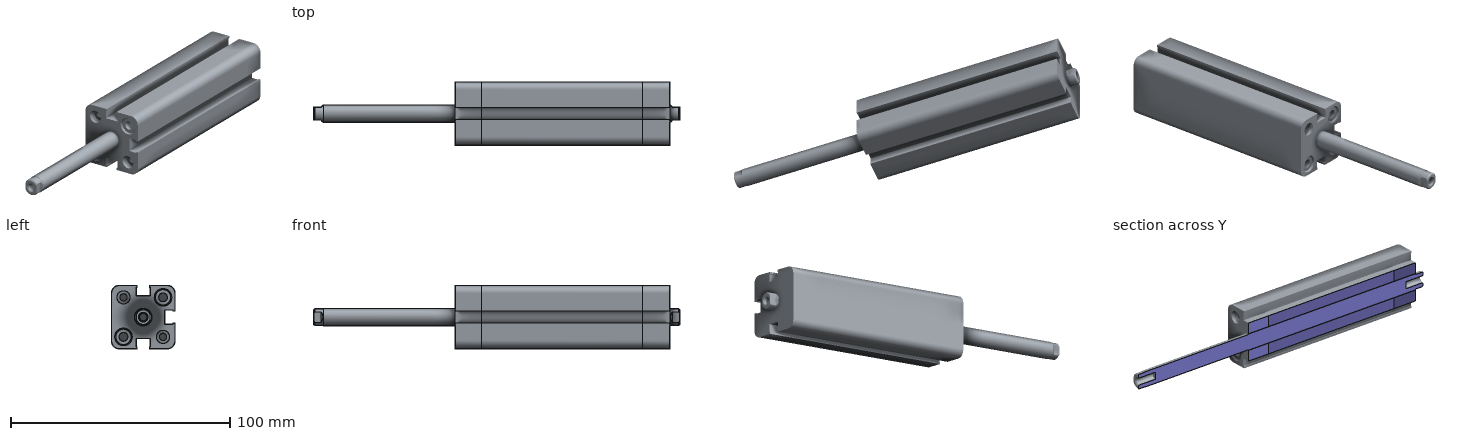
import cadquery as cq

TOTAL_LENGTH = 167.0
SIDE = 29.0
CORNER_RADIUS = 3.7
ROD_PROJECTION = 64.5
ROD_TAIL = 4.5
FRONT_CAP_LENGTH = 12.0
REAR_CAP_LENGTH = 12.5

SLOT_MOUTH_WIDTH = 5.5
SLOT_INNER_WIDTH = 6.3
SLOT_LIP = 1.0
SLOT_DEPTH = 4.7
SLOT_ANGLES = (0, 90, 180)

ROD_DIAMETER = 8.0
END_DIAMETER = 7.7
FLATS_WIDTH = 6.0
FLATS_LENGTH = 3.3
ROD_END_CHAMFER = 0.5
ROD_HOLE_DIAMETER = 3.3
ROD_HOLE_DEPTH = 10.0
ROD_COUNTERSINK_DIAMETER = 4.3

HOLE_OFFSET = 9.0
DEEP_BORE_DIAMETER = 6.0
DEEP_BORE_DEPTH = 3.5
DEEP_HOLE_DIAMETER = 3.3
WIDE_BORE_DIAMETER = 8.0
WIDE_FLOOR_DIAMETER = 7.0
WIDE_BORE_DEPTH = 0.8
WIDE_HOLE_DIAMETER = 4.0

FRONT_X = ROD_PROJECTION
TUBE_X = FRONT_X + FRONT_CAP_LENGTH
REAR_END_X = TOTAL_LENGTH - ROD_TAIL
REAR_CAP_X = REAR_END_X - REAR_CAP_LENGTH

FLATS_SHOULDER = (ROD_DIAMETER - FLATS_WIDTH) / 2
ROD_END_LENGTH = FLATS_LENGTH + FLATS_SHOULDER


def section_plane(x):
    """Plane across the axis at x, with local axes along Y and Z."""
    return cq.Workplane("YZ", origin=(x, 0, 0))


def slot(x, length, angle):
    """T-shaped slot cutter for the top face, turned about the X axis by angle."""
    floor_z = SIDE / 2 - SLOT_DEPTH
    inner_depth = SLOT_DEPTH - SLOT_LIP
    mouth = section_plane(x).center(0, floor_z + SLOT_DEPTH / 2).rect(SLOT_MOUTH_WIDTH, SLOT_DEPTH)
    inner = section_plane(x).center(0, floor_z + inner_depth / 2).rect(SLOT_INNER_WIDTH, inner_depth)
    cutter = mouth.extrude(length).union(inner.extrude(length))
    return cutter.rotate((0, 0, 0), (1, 0, 0), angle)


def profile_block(x, length):
    """Slotted square block with a clear bore for the rod."""
    block = section_plane(x).rect(SIDE, SIDE).extrude(length).edges("|X").fillet(CORNER_RADIUS)
    for angle in SLOT_ANGLES:
        block = block.cut(slot(x, length, angle))
    return block.cut(section_plane(x).circle(ROD_DIAMETER / 2).extrude(length))


def cap_holes(points, hole_diameter, bore_diameter, floor_diameter, bore_depth):
    """Screw holes through the front cap, each with a straight or tapered bore at the front face."""
    holes = section_plane(FRONT_X).pushPoints(points).circle(hole_diameter / 2).extrude(FRONT_CAP_LENGTH)
    for y, z in points:
        bore_plane = section_plane(FRONT_X).center(y, z)
        bore = bore_plane.circle(bore_diameter / 2)
        bore = bore.workplane(offset=bore_depth).circle(floor_diameter / 2).loft(combine=False)
        holes = holes.union(bore)
    return holes


def make_front_cap():
    deep_points = [(HOLE_OFFSET, HOLE_OFFSET), (-HOLE_OFFSET, -HOLE_OFFSET)]
    wide_points = [(-HOLE_OFFSET, HOLE_OFFSET), (HOLE_OFFSET, -HOLE_OFFSET)]
    deep_holes = cap_holes(
        deep_points, DEEP_HOLE_DIAMETER, DEEP_BORE_DIAMETER, DEEP_BORE_DIAMETER, DEEP_BORE_DEPTH
    )
    wide_holes = cap_holes(
        wide_points, WIDE_HOLE_DIAMETER, WIDE_BORE_DIAMETER, WIDE_FLOOR_DIAMETER, WIDE_BORE_DEPTH
    )
    return profile_block(FRONT_X, FRONT_CAP_LENGTH).cut(deep_holes).cut(wide_holes)


def flat_cutter(side):
    """Cutter for the wrench flat and 45 degree shoulder on one side (+1 or -1 in Y) of the front rod end."""
    flat_y = side * FLATS_WIDTH / 2
    outer_y = side * ROD_DIAMETER / 2
    outline = [(0, flat_y), (FLATS_LENGTH, flat_y), (ROD_END_LENGTH, outer_y), (0, outer_y)]
    return cq.Workplane("XY").polyline(outline).close().extrude(ROD_DIAMETER / 2, both=True)


def rod_end_hole():
    """Blind hole in the front rod end with a 45 degree countersink at its mouth."""
    hole_radius = ROD_HOLE_DIAMETER / 2
    mouth_radius = ROD_COUNTERSINK_DIAMETER / 2
    half_section = [
        (0, 0),
        (0, mouth_radius),
        (mouth_radius - hole_radius, hole_radius),
        (ROD_HOLE_DEPTH, hole_radius),
        (ROD_HOLE_DEPTH, 0),
    ]
    return cq.Workplane("XY").polyline(half_section).close().revolve(360, (0, 0), (1, 0))


def make_rod():
    middle = (TOTAL_LENGTH / 2, 0, 0)
    shank_length = TOTAL_LENGTH - 2 * ROD_END_LENGTH
    rod = section_plane(0).circle(END_DIAMETER / 2).extrude(TOTAL_LENGTH)
    rod = rod.union(section_plane(ROD_END_LENGTH).circle(ROD_DIAMETER / 2).extrude(shank_length))
    rod = rod.faces("<X or >X").chamfer(ROD_END_CHAMFER)
    for cutter in (flat_cutter(-1), flat_cutter(1), rod_end_hole()):
        rod = rod.cut(cutter).cut(cutter.mirror("YZ", middle))
    return rod


front_cap = make_front_cap()
tube = profile_block(TUBE_X, REAR_CAP_X - TUBE_X)
rear_cap = profile_block(REAR_CAP_X, REAR_CAP_LENGTH)
rod = make_rod()

result = cq.Compound.makeCompound([front_cap.val(), tube.val(), rear_cap.val(), rod.val()])